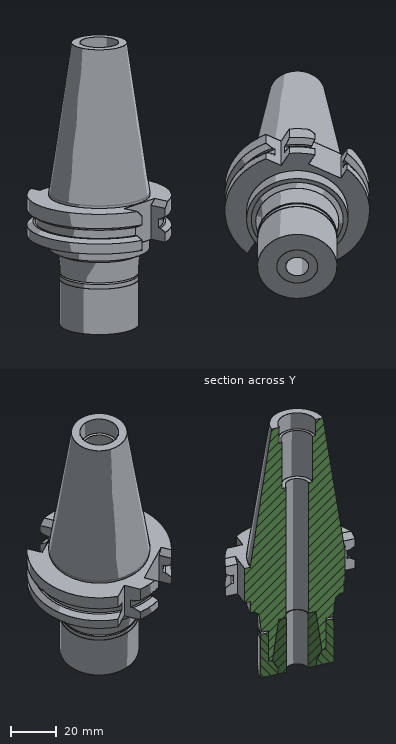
import cadquery as cq
import math

TOTAL_LENGTH = 128.4
GAUGE_Z = 60.1
FLANGE_TOP_Z = 58.9
FLANGE_BOTTOM_Z = 40.8
GROOVE_MID_Z = 48.9
COLLAR_BOTTOM_Z = 34.9
FLARE_TOP_Z = 33.1
FLARE_BOTTOM_Z = 23.6
NUT_TOP_Z = 22.9
NUT_BAND_Z = 20.8
NOSE_BOTTOM_Z = 7.7
SOCKET_TOP_Z = 28.2
COLLET_FACE_CONE_Z = 3.2

GAUGE_RADIUS = 22.2
TAPER_SLOPE = 7 / 48
FLANGE_DIAMETER = 63.5
FLANGE_RADIUS = FLANGE_DIAMETER / 2
COLLAR_CHAMFER_RADIUS = 20.2
FLARE_TOP_RADIUS = 18.2
FLARE_BOTTOM_RADIUS = 17.3
NOSE_RADIUS = 13.7

GROOVE_RADIUS = 28.1
GROOVE_WIDTH = 7.0
CHANNEL_WIDTH = 4.0
GROOVE_WALL_ANGLE = 30.0

SLOT_WIDTH = 16.0
SLOT_CHAMFER = 2.6
LEFT_SLOT_FLOOR = 25.0
RIGHT_SLOT_FLOOR = 22.7
NOTCH_X = 18.5
NOTCH_Y = 18.2

COUNTERBORE_RADIUS = 8.5
COUNTERBORE_DEPTH = 8.3
THREAD_BORE_RADIUS = 7.2
THREAD_BORE_DEPTH = 32.1
HOLDER_BORE_RADIUS = 5.3

NUT_RADIUS = 17.5
NUT_BAND_STEP = 0.1
COLLET_RADIUS = 11.5
COLLET_HALF_ANGLE = 8.0
COLLET_FACE_RADIUS = 9.0
COLLET_BORE_RADIUS = 5.0


def cylinder(radius, bottom, top):
    """Solid cylinder on the Z axis between two heights."""
    return cq.Workplane("XY").workplane(offset=bottom).circle(radius).extrude(top - bottom)


def revolve_profile(profile):
    """Turn a closed profile of (radius, height) points around the Z axis."""
    return profile.close().revolve(360, (0, 0, 0), (0, 1, 0))


def holder_blank():
    """Outer turned shape: taper, flange, collar, flare and nose."""
    tip_radius = GAUGE_RADIUS - TAPER_SLOPE * (TOTAL_LENGTH - GAUGE_Z)
    flare = FLARE_TOP_RADIUS - FLARE_BOTTOM_RADIUS
    flare_middle = (FLARE_BOTTOM_RADIUS + flare / 4, (FLARE_TOP_Z + FLARE_BOTTOM_Z) / 2)
    profile = (
        cq.Workplane("XZ")
        .moveTo(0, TOTAL_LENGTH)
        .lineTo(tip_radius, TOTAL_LENGTH)
        .lineTo(GAUGE_RADIUS, GAUGE_Z)
        .lineTo(GAUGE_RADIUS, FLANGE_TOP_Z)
        .lineTo(FLANGE_RADIUS, FLANGE_TOP_Z)
        .lineTo(FLANGE_RADIUS, FLANGE_BOTTOM_Z)
        .lineTo(GAUGE_RADIUS, FLANGE_BOTTOM_Z)
        .lineTo(GAUGE_RADIUS, COLLAR_BOTTOM_Z)
        .lineTo(COLLAR_CHAMFER_RADIUS, COLLAR_BOTTOM_Z)
        .lineTo(FLARE_TOP_RADIUS, FLARE_TOP_Z)
        .threePointArc(flare_middle, (FLARE_BOTTOM_RADIUS, FLARE_BOTTOM_Z))
        .lineTo(NOSE_RADIUS, FLARE_BOTTOM_Z)
        .lineTo(NOSE_RADIUS, NOSE_BOTTOM_Z)
        .lineTo(0, NOSE_BOTTOM_Z)
    )
    return revolve_profile(profile)


def flange_groove():
    """Ring that cuts the V groove and its channel."""
    half_mouth = GROOVE_WIDTH / 2
    half_channel = CHANNEL_WIDTH / 2
    wall_run = (half_mouth - half_channel) / math.tan(math.radians(GROOVE_WALL_ANGLE))
    wall_foot_radius = FLANGE_RADIUS - wall_run
    profile = (
        cq.Workplane("XZ")
        .moveTo(FLANGE_RADIUS, GROOVE_MID_Z + half_mouth)
        .lineTo(wall_foot_radius, GROOVE_MID_Z + half_channel)
        .lineTo(GROOVE_RADIUS, GROOVE_MID_Z + half_channel)
        .lineTo(GROOVE_RADIUS, GROOVE_MID_Z - half_channel)
        .lineTo(wall_foot_radius, GROOVE_MID_Z - half_channel)
        .lineTo(FLANGE_RADIUS, GROOVE_MID_Z - half_mouth)
    )
    return revolve_profile(profile)


def drive_slot(side, floor):
    """Cutter for a drive slot on the +X (side = 1) or -X (side = -1) flank, chamfered at its upper edges."""
    half_width = SLOT_WIDTH / 2
    half_mouth = half_width + SLOT_CHAMFER
    section = [
        (-half_width, FLANGE_BOTTOM_Z),
        (half_width, FLANGE_BOTTOM_Z),
        (half_width, FLANGE_TOP_Z - SLOT_CHAMFER),
        (half_mouth, FLANGE_TOP_Z),
        (-half_mouth, FLANGE_TOP_Z),
        (-half_width, FLANGE_TOP_Z - SLOT_CHAMFER),
    ]
    depth = FLANGE_RADIUS - floor
    return cq.Workplane("YZ").workplane(offset=side * floor).polyline(section).close().extrude(side * depth)


def orientation_notch():
    """Square corner cutter through the flange on its -X, +Y side."""
    height = FLANGE_TOP_Z - FLANGE_BOTTOM_Z
    block = cq.Workplane("XY").box(FLANGE_RADIUS, FLANGE_RADIUS, height, centered=False)
    return block.translate((-NOTCH_X - FLANGE_RADIUS, NOTCH_Y, FLANGE_BOTTOM_Z))


def collet_tail():
    """Tapered rear of the collet, which is also the shape of its socket in the nose."""
    height = SOCKET_TOP_Z - NOSE_BOTTOM_Z
    tail_radius = COLLET_RADIUS - height * math.tan(math.radians(COLLET_HALF_ANGLE))
    profile = (
        cq.Workplane("XZ")
        .moveTo(0, NOSE_BOTTOM_Z)
        .lineTo(COLLET_RADIUS, NOSE_BOTTOM_Z)
        .lineTo(tail_radius, SOCKET_TOP_Z)
        .lineTo(0, SOCKET_TOP_Z)
    )
    return revolve_profile(profile)


def collet_head():
    """Front of the collet, which is also the shape of its seat in the nut."""
    profile = (
        cq.Workplane("XZ")
        .moveTo(0, 0)
        .lineTo(COLLET_FACE_RADIUS, 0)
        .lineTo(COLLET_FACE_RADIUS, COLLET_FACE_CONE_Z)
        .lineTo(COLLET_RADIUS, NOSE_BOTTOM_Z)
        .lineTo(0, NOSE_BOTTOM_Z)
    )
    return revolve_profile(profile)


def make_holder():
    """Taper-shank holder with its flange cuts, stepped bore and collet socket."""
    return (
        holder_blank()
        .cut(flange_groove())
        .cut(drive_slot(-1, LEFT_SLOT_FLOOR))
        .cut(drive_slot(1, RIGHT_SLOT_FLOOR))
        .cut(orientation_notch())
        .cut(cylinder(COUNTERBORE_RADIUS, TOTAL_LENGTH - COUNTERBORE_DEPTH, TOTAL_LENGTH))
        .cut(cylinder(THREAD_BORE_RADIUS, TOTAL_LENGTH - THREAD_BORE_DEPTH, TOTAL_LENGTH))
        .cut(cylinder(HOLDER_BORE_RADIUS, NOSE_BOTTOM_Z, TOTAL_LENGTH))
        .cut(collet_tail())
    )


def make_nut():
    """Clamping nut around the nose, with a slightly smaller band at its upper end."""
    band = cylinder(NUT_RADIUS - NUT_BAND_STEP, NUT_BAND_Z, NUT_TOP_Z)
    return (
        cylinder(NUT_RADIUS, 0, NUT_BAND_Z)
        .union(band)
        .cut(cylinder(NOSE_RADIUS, NOSE_BOTTOM_Z, NUT_TOP_Z))
        .cut(collet_head())
    )


def make_collet():
    """Collet held between the nose socket and the nut, bored through."""
    return collet_tail().union(collet_head()).cut(cylinder(COLLET_BORE_RADIUS, 0, SOCKET_TOP_Z))


holder = make_holder()
nut = make_nut()
collet = make_collet()

result = cq.Compound.makeCompound([holder.val(), nut.val(), collet.val()])